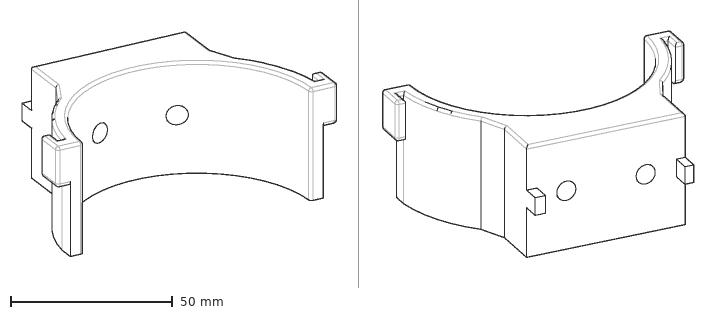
import cadquery as cq
import math

height = 38.1
ring_inner_radius = 40.0
ring_outer_radius = 45.0
tip_x = -0.2
overall_length = 62.6
overall_width = 99.1

peg_length = 6.0
block_back_x = tip_x - overall_length + peg_length
block_front_x = -41.0
block_width = 54.5
block_left_y = block_width / 2
block_right_y = -block_left_y
flare_end_y = 31.2
flare_end_x = -math.sqrt(ring_outer_radius**2 - flare_end_y**2)

fixing_z = 20.0
peg_height = 6.0
left_peg_width = 3.6
right_peg_width = 3.1
hole_diameter = 6.5
hole_spacing = 27.25

hook_length = 10.4
hook_height = 14.0
hook_root_length = 5.3
lip_thickness = 3.3
hook_root_x = tip_x - hook_root_length
hook_end_x = tip_x - hook_length
left_hook_y = 49.7
right_hook_y = overall_width - left_hook_y
arm_flat_y = math.sqrt(ring_outer_radius**2 - hook_root_x**2)
arm_inner_y = math.sqrt(ring_inner_radius**2 - tip_x**2)

edge_radius = 1.0
hook_bottom_radius = 1.5
pick_margin = 0.1


def box_between(x_range, y_range, z_range):
    """Box spanning the given (low, high) ranges."""
    sizes = [high - low for low, high in (x_range, y_range, z_range)]
    corner = (x_range[0], y_range[0], z_range[0])
    return cq.Workplane("XY").box(*sizes, centered=False).translate(corner)


def ring_point(radius, angle):
    return (radius * math.cos(angle), radius * math.sin(angle))


def make_body():
    """Block, flares and ring arms as one extruded outline."""
    flare_angle = math.atan2(flare_end_y, flare_end_x)
    arm_angle = math.atan2(arm_flat_y, hook_root_x)
    middle_x, middle_y = ring_point(ring_outer_radius, (flare_angle + arm_angle) / 2)
    return (
        cq.Workplane("XY")
        .moveTo(block_back_x, block_right_y)
        .lineTo(block_front_x, block_right_y)
        .lineTo(flare_end_x, -flare_end_y)
        .threePointArc((middle_x, -middle_y), (hook_root_x, -arm_flat_y))
        .lineTo(tip_x, -arm_flat_y)
        .lineTo(tip_x, -arm_inner_y)
        .threePointArc((-ring_inner_radius, 0), (tip_x, arm_inner_y))
        .lineTo(tip_x, arm_flat_y)
        .lineTo(hook_root_x, arm_flat_y)
        .threePointArc((middle_x, middle_y), (flare_end_x, flare_end_y))
        .lineTo(block_front_x, block_left_y)
        .lineTo(block_back_x, block_left_y)
        .close()
        .extrude(height)
    )


def make_hook(hook_outer_y):
    """Hook at the +Y arm tip: a root standing off the arm and a lip folded back toward -X."""
    z_range = (height - hook_height, height)
    root_start_y = (arm_inner_y + arm_flat_y) / 2
    root = box_between((hook_root_x, tip_x), (root_start_y, hook_outer_y), z_range)
    lip = box_between((hook_end_x, tip_x), (hook_outer_y - lip_thickness, hook_outer_y), z_range)
    return root.union(lip)


def edges_near(x, y, z_range):
    """Selector for the edges centred at the given X and Y within a Z range."""
    return cq.selectors.BoxSelector(
        (x - pick_margin, y - pick_margin, z_range[0]),
        (x + pick_margin, y + pick_margin, z_range[1]),
    )


def round_edges(body):
    """Round the upright hook and arm corners, the hook undersides and the whole top rim."""
    for side, hook_outer_y in ((1, left_hook_y), (-1, right_hook_y)):
        for x, y in (
            (hook_end_x, hook_outer_y),
            (tip_x, hook_outer_y),
            (tip_x, arm_inner_y),
        ):
            body = body.edges("|Z").edges(edges_near(x, side * y, (0, height))).fillet(edge_radius)
    hook_bottom_z = height - hook_height
    bottom_range = (hook_bottom_z - pick_margin, hook_bottom_z + pick_margin)
    hook_middle_x = (hook_end_x + tip_x) / 2
    for outer_y in (left_hook_y, -right_hook_y):
        bottom_edge = edges_near(hook_middle_x, outer_y, bottom_range)
        body = body.edges(bottom_edge).fillet(hook_bottom_radius)
    return body.faces(">Z").edges().fillet(edge_radius)


def make_pegs():
    x_range = (block_back_x - peg_length, block_back_x)
    z_range = (fixing_z - peg_height / 2, fixing_z + peg_height / 2)
    left = box_between(x_range, (block_left_y - left_peg_width, block_left_y), z_range)
    right = box_between(x_range, (block_right_y, block_right_y + right_peg_width), z_range)
    return left.union(right)


def make_holes():
    """Screw holes running through the block along X."""
    centers = [(side * hole_spacing / 2, fixing_z) for side in (1, -1)]
    return (
        cq.Workplane("YZ", origin=(block_back_x, 0, 0))
        .pushPoints(centers)
        .circle(hole_diameter / 2)
        .extrude(-block_back_x)
    )


left_hook = make_hook(left_hook_y)
right_hook = make_hook(right_hook_y).mirror("XZ")
body = make_body().union(left_hook).union(right_hook)
result = round_edges(body).union(make_pegs()).cut(make_holes())